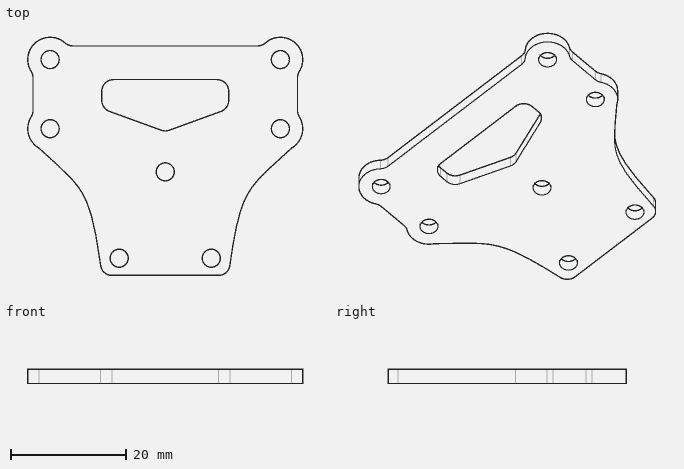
import cadquery as cq

THICKNESS = 2.5
TOP_Y = 39.9
SIDE_X = 23.0
BOTTOM_HALF_WIDTH = 11.0
BLEND_RADIUS = 2.0

FLANK_START = (SIDE_X, 23.1)
FLANK_UPPER_CONTROL = (14.2, 14.8)
FLANK_LOWER_CONTROL = (13.15, 16.0)
FLANK_END = (BOTTOM_HALF_WIDTH, 0.0)

HOLE_DIAMETER = 3.1
LUG_RADIUS = 3.9
LUG_X = 20.0
UPPER_LUG_Y = 37.5
LOWER_LUG_Y = 25.5
CENTER_HOLE_Y = 18.0
BOTTOM_HOLE_X = 8.0
BOTTOM_HOLE_Y = 3.0

WINDOW_HALF_WIDTH = 11.0
WINDOW_TOP_Y = 34.0
WINDOW_SHOULDER_Y = 29.0
WINDOW_TIP_Y = 25.0

LUG_CENTERS = [(side * LUG_X, y) for side in (-1, 1) for y in (UPPER_LUG_Y, LOWER_LUG_Y)]
BOTTOM_HOLES = [(side * BOTTOM_HOLE_X, BOTTOM_HOLE_Y) for side in (-1, 1)]
HOLE_CENTERS = LUG_CENTERS + BOTTOM_HOLES + [(0, CENTER_HOLE_Y)]


def mirrored(point):
    """Reflect a point across the symmetry axis."""
    x, y = point
    return (-x, y)


def make_web():
    """Plate without lugs: straight top, sides and bottom, joined by the two curved flanks."""
    right_flank = [FLANK_START, FLANK_UPPER_CONTROL, FLANK_LOWER_CONTROL, FLANK_END]
    left_flank = [mirrored(point) for point in reversed(right_flank)]
    return (
        cq.Workplane("XY")
        .moveTo(-SIDE_X, TOP_Y)
        .lineTo(SIDE_X, TOP_Y)
        .lineTo(*FLANK_START)
        .bezier(right_flank)
        .lineTo(*mirrored(FLANK_END))
        .bezier(left_flank)
        .close()
        .extrude(THICKNESS)
    )


def make_lugs():
    """Round lugs around the four upper mounting holes."""
    return cq.Workplane("XY").pushPoints(LUG_CENTERS).circle(LUG_RADIUS).extrude(THICKNESS)


def make_window():
    """Cutter for the window, with every corner rounded."""
    outline = [
        (-WINDOW_HALF_WIDTH, WINDOW_TOP_Y),
        (WINDOW_HALF_WIDTH, WINDOW_TOP_Y),
        (WINDOW_HALF_WIDTH, WINDOW_SHOULDER_Y),
        (0, WINDOW_TIP_Y),
        (-WINDOW_HALF_WIDTH, WINDOW_SHOULDER_Y),
    ]
    return cq.Workplane("XY").polyline(outline).close().extrude(THICKNESS).edges("|Z").fillet(BLEND_RADIUS)


def make_holes():
    """Cutters for all the mounting holes."""
    return cq.Workplane("XY").pushPoints(HOLE_CENTERS).circle(HOLE_DIAMETER / 2).extrude(THICKNESS)


def blend_outline(plate):
    """Round the bottom corners and every junction between a lug and the plate edge.

    These corners all lie on or inside the plate sides. Vertical edges farther out are only the
    seams of the round lugs and stay as they are.
    """
    corner_limit_x = (SIDE_X + LUG_X + LUG_RADIUS) / 2
    corners = plate.edges("|Z").filter(lambda edge: abs(edge.Center().x) < corner_limit_x)
    return corners.fillet(BLEND_RADIUS)


plate = blend_outline(make_web().union(make_lugs()))
result = plate.cut(make_window()).cut(make_holes())